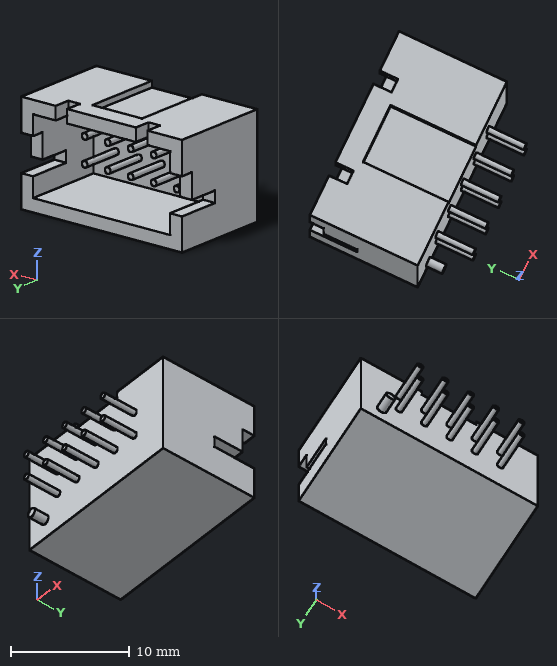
import cadquery as cq


width = 17.5
depth = 10.1
height = 10.1
wall = 1.3
base_thickness = 2.0

pin_columns = 5
pin_rows = 2
pin_pitch = 2.5
pin_diameter = 0.6
pin_tail = 3.5
pin_tip_y = 6.2

peg_diameter = 0.9
peg_length = 1.5
peg_x = -6.7
peg_z = -3.05

recess_width = 5.4
recess_length = 8.0
recess_depth = 0.6

notch_width = 1.25
notch_depth = 1.7
notch_offset = 4.36

step_height = 3.6
step_depth = 1.3
slot_height = 1.12
slot_depth = 4.43

top_z = height / 2
slot_bottom_z = -step_height / 2
cavity_depth = depth - base_thickness


def block(size_x, size_y, size_z, center_x, min_y, min_z):
    """Box centred on center_x that grows toward +Y and +Z."""
    corner = (center_x - size_x / 2, min_y, min_z)
    return cq.Workplane("XY").box(size_x, size_y, size_z, centered=False).translate(corner)


def rod(diameter, x, z, start_y, end_y):
    """Cylinder along Y."""
    return cq.Workplane(cq.Solid.makeCylinder(
        diameter / 2, end_y - start_y, cq.Vector(x, start_y, z), cq.Vector(0, 1, 0)))


def make_shroud():
    outer = block(width, depth, height, 0, 0, -height / 2)
    cavity_height = height - 2 * wall
    cavity = block(width - 2 * wall, cavity_depth, cavity_height, 0, base_thickness, -cavity_height / 2)
    return outer.cut(cavity)


def cut_recess(body):
    return body.cut(block(recess_width, recess_length, recess_depth, 0, 0, top_z - recess_depth))


def cut_rim_notches(body):
    for center_x in (-notch_offset, notch_offset):
        body = body.cut(block(notch_width, notch_depth, wall, center_x, depth - notch_depth, top_z - wall))
    return body


def cut_end_slots(body):
    step = block(width, step_depth, step_height, 0, depth - step_depth, slot_bottom_z)
    slot = block(width, slot_depth, slot_height, 0, depth - slot_depth, slot_bottom_z)
    return body.cut(step).cut(slot)


def add_pins(body):
    for column in range(pin_columns):
        x = (column - (pin_columns - 1) / 2) * pin_pitch
        for row in range(pin_rows):
            z = (row - (pin_rows - 1) / 2) * pin_pitch
            body = body.union(rod(pin_diameter, x, z, -pin_tail, pin_tip_y))
    return body


def add_peg(body):
    return body.union(rod(peg_diameter, peg_x, peg_z, -peg_length, base_thickness))


housing = cut_end_slots(cut_rim_notches(cut_recess(make_shroud())))
result = add_peg(add_pins(housing))